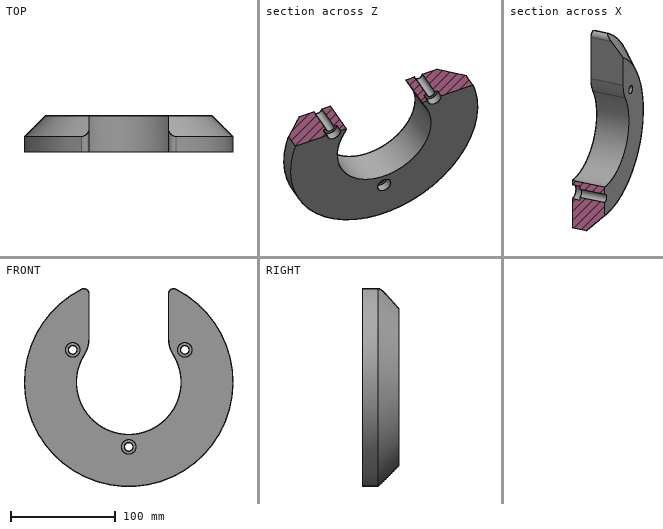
import cadquery as cq
import math

outer_radius = 99.8
bore_radius = 49.9
thickness = 35.0
bevel = 20.0
slot_width = 75.8
throat_radius = 28.0
tip_radius = 5.0
hole_circle_radius = 61.9
hole_diameter = 8.0
counterbore_diameter = 14.0
counterbore_depth = 8.0
hole_angles = (30, 150, 270)


def revolved_ring():
    """Ring about the Y axis, flat front at Y = 0 and bevelled at the back."""
    half_section = [
        (bore_radius, 0),
        (outer_radius, 0),
        (outer_radius, thickness - bevel),
        (outer_radius - bevel, thickness),
        (bore_radius, thickness),
    ]
    return cq.Workplane("XY").polyline(half_section).close().revolve(360, (0, 0, 0), (0, 1, 0))


def c_profile():
    """C-shaped prism, open towards +Z, with rounded throat and arm ends."""
    half_slot = slot_width / 2
    throat_x = half_slot + throat_radius
    throat_z = math.sqrt((bore_radius + throat_radius) ** 2 - throat_x**2)
    bore_scale = bore_radius / (bore_radius + throat_radius)
    bore_x = throat_x * bore_scale
    bore_z = throat_z * bore_scale
    throat_mid_angle = (math.pi + math.atan2(throat_z, throat_x) + math.pi) / 2
    throat_mid_x = throat_x + throat_radius * math.cos(throat_mid_angle)
    throat_mid_z = throat_z + throat_radius * math.sin(throat_mid_angle)

    tip_x = half_slot + tip_radius
    tip_z = math.sqrt((outer_radius - tip_radius) ** 2 - tip_x**2)
    rim_scale = outer_radius / (outer_radius - tip_radius)
    rim_x = tip_x * rim_scale
    rim_z = tip_z * rim_scale
    tip_mid_angle = (math.pi + math.atan2(tip_z, tip_x)) / 2
    tip_mid_x = tip_x + tip_radius * math.cos(tip_mid_angle)
    tip_mid_z = tip_z + tip_radius * math.sin(tip_mid_angle)

    return (
        cq.Workplane("XZ")
        .moveTo(rim_x, rim_z)
        .threePointArc((0, -outer_radius), (-rim_x, rim_z))
        .threePointArc((-tip_mid_x, tip_mid_z), (-half_slot, tip_z))
        .lineTo(-half_slot, throat_z)
        .threePointArc((-throat_mid_x, throat_mid_z), (-bore_x, bore_z))
        .threePointArc((0, -bore_radius), (bore_x, bore_z))
        .threePointArc((throat_mid_x, throat_mid_z), (half_slot, throat_z))
        .lineTo(half_slot, tip_z)
        .threePointArc((tip_mid_x, tip_mid_z), (rim_x, rim_z))
        .close()
        .extrude(-thickness)
    )


def drill_holes(body):
    """Cut the counterbored through holes from the front face."""
    centres = [
        (
            hole_circle_radius * math.cos(math.radians(angle)),
            hole_circle_radius * math.sin(math.radians(angle)),
        )
        for angle in hole_angles
    ]
    front = cq.Workplane("XZ").pushPoints(centres)
    through_holes = front.circle(hole_diameter / 2).extrude(-thickness)
    counterbores = front.circle(counterbore_diameter / 2).extrude(-counterbore_depth)
    return body.cut(through_holes).cut(counterbores)


result = drill_holes(revolved_ring().intersect(c_profile()))